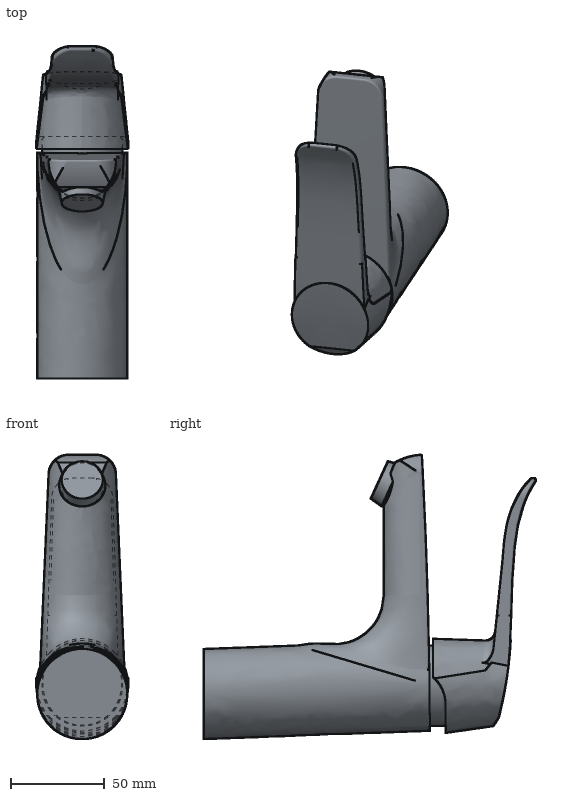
import cadquery as cq
import math


BODY_RADIUS = 24.15
BODY_SLOPE = math.tan(math.radians(2.1))
BODY_ROUGH_LENGTH = 124.0

SPOUT_FRONT_Y = 96.2
SPOUT_REAR_Y = 122.0
SPOUT_STRAIGHT_SHARE = 0.25
RUNOUT_STRAIGHT_SHARE = 0.02
SPOUT_BASE_WIDTH = 46.3
SPOUT_TOP_WIDTH = 35.2
SPOUT_TOP_Z = 127.95
HEAD_CORNER_RADIUS = 11.0
HEAD_CLEARANCE = 0.05

BLEND_RADIUS = 26.0
BLEND_STEPS = 6
BLEND_BACK_Z = 15.0
BLEND_RUNOUT_Y = 50.0
BLEND_RUNOUT_SINK = 0.05

BACK_TOP = (116.7, SPOUT_TOP_Z)
BACK_MIDDLE = (119.6, 60.0)
BACK_BOTTOM = (120.9, -30.0)
HEAD_MIDDLE = (109.6, 126.8)
HEAD_FRONT = (102.4, 123.8)
HEAD_NOSE = (99.3, 116.0)
HEAD_CHIN = (97.4, 105.5)
HEAD_BASE = (95.9, 98.0)
BACK_RIM = 1.0

NOZZLE_FACE_Y = 93.9
NOZZLE_FACE_Z = 114.4
NOZZLE_TILT = math.radians(24.6)
NOZZLE_FACE_RADIUS = 11.0
NOZZLE_BASE_RADIUS = 12.4
NOZZLE_LENGTH = 7.0
NOZZLE_ROOT = 4.0
NOZZLE_ROOT_RADIUS = 8.5

NECK_RADIUS = 21.6
NECK_Z = 4.4
NECK_START_Y = 115.0
NECK_END_Y = 131.0
NECK_ROUND = 3.5

HUB_FRONT_Y = 122.6
HUB_REAR_Y = 168.0
HUB_FRONT_Z = 4.1
HUB_REAR_Z = 6.6
HUB_FRONT_RADII = (24.65, 25.5)
HUB_REAR_RADII = (20.0, 21.5)
SKIRT_STEP = 0.4
SKIRT_FRONT_Z = 8.2
SKIRT_REAR_Y = 150.5
SKIRT_REAR_Z = 12.6

LEVER_TOP_Z = 115.5
LEVER_TIP_WIDTH = 32.0
LEVER_ROOT_WIDTH = 39.0
LEVER_ROOT_Z = 8.0
LEVER_CORNER_RADIUS = 11.0
LEVER_EDGE_ROUND = 1.0
LEVER_JOIN_Z = 42.0
LEVER_HUB_FILLET = 5.0

LEVER_TIP_BACK = (177.67, 114.0)
LEVER_TIP_CROWN = (176.8, 115.4)
LEVER_TIP_FRONT = (175.0, 115.2)
LEVER_FRONT_CURVE = [(167.4, 105.2), (162.2, 91.5), (159.6, 70.8)]
LEVER_FRONT_ROOT = (155.9, 34.7)
LEVER_FRONT_BURIED = (153.2, 2.0)
HUB_NOTCH_TOP = (HUB_FRONT_Y, 9.0)
HUB_NOTCH_MIDDLE = (127.3, 3.0)
HUB_NOTCH_BOTTOM = (129.3, -6.0)
HUB_BOTTOM_FRONT = (HUB_NOTCH_BOTTOM[0], -22.0)
HUB_BOTTOM_REAR = (154.5, -17.6)
HUB_HEEL = (157.8, -12.5)
HANDLE_BACK_CURVE = [(161.6, 5.4), (164.5, 43.3), (166.2, 77.7), (171.3, 101.8)]

TRIM_SPAN = 60.0


def prism_along_x(outline):
    return outline.close().extrude(2 * TRIM_SPAN)


def body_axis_z(y):
    return y * BODY_SLOPE


def body_top_z(y):
    return body_axis_z(y) + BODY_RADIUS


def make_body():
    path = cq.Workplane("YZ").lineTo(BODY_ROUGH_LENGTH, body_axis_z(BODY_ROUGH_LENGTH))
    return cq.Workplane("XZ").circle(BODY_RADIUS).sweep(path)


def spout_half_width(z):
    taper = (SPOUT_BASE_WIDTH - SPOUT_TOP_WIDTH) / SPOUT_TOP_Z
    return (SPOUT_BASE_WIDTH - taper * z) / 2


def spout_section(half_width, rear_z, tip_y, tip_z, straight_share):
    """Section in the plane through the rear edge at rear_z and the given front tip."""
    forward_y = tip_y - SPOUT_REAR_Y
    forward_z = tip_z - rear_z
    depth = math.hypot(forward_y, forward_z)
    straight = depth * straight_share
    plane = cq.Plane(origin=(0, SPOUT_REAR_Y, rear_z), xDir=(1, 0, 0),
                     normal=(0, forward_z, -forward_y))
    return (
        cq.Workplane(plane)
        .moveTo(-half_width, 0)
        .lineTo(-half_width, -straight)
        .ellipseArc(half_width, depth - straight, 180, 360)
        .lineTo(half_width, 0)
        .close()
        .wires().val()
    )


def head_prism():
    """Tapered outline with rounded top corners, extruded along Y."""
    base = spout_half_width(0) + HEAD_CLEARANCE
    top = spout_half_width(SPOUT_TOP_Z) + HEAD_CLEARANCE
    return (
        cq.Workplane("XZ")
        .polyline([(-base, 0), (base, 0), (top, SPOUT_TOP_Z), (-top, SPOUT_TOP_Z)])
        .close()
        .extrude(-BODY_ROUGH_LENGTH)
        .edges("|Y and >Z").fillet(HEAD_CORNER_RADIUS)
    )


def make_spout():
    arc_centre_y = SPOUT_FRONT_Y - BLEND_RADIUS
    arc_centre_z = body_top_z(arc_centre_y) + BLEND_RADIUS

    top = spout_section(spout_half_width(SPOUT_TOP_Z), SPOUT_TOP_Z, SPOUT_FRONT_Y, SPOUT_TOP_Z,
                        SPOUT_STRAIGHT_SHARE)
    blend_sections = []
    for step in range(BLEND_STEPS + 1):
        fraction = step / BLEND_STEPS
        angle = fraction * math.pi / 2
        back_z = arc_centre_z - (arc_centre_z - BLEND_BACK_Z) * fraction
        tip_y = arc_centre_y + BLEND_RADIUS * math.cos(angle)
        tip_z = arc_centre_z - BLEND_RADIUS * math.sin(angle)
        straight_share = SPOUT_STRAIGHT_SHARE * (1 - fraction) + RUNOUT_STRAIGHT_SHARE * fraction
        blend_sections.append(
            spout_section(spout_half_width(back_z), back_z, tip_y, tip_z, straight_share))

    runout = spout_section(BODY_RADIUS - BLEND_RUNOUT_SINK, body_axis_z(SPOUT_REAR_Y),
                           BLEND_RUNOUT_Y, body_top_z(BLEND_RUNOUT_Y) - BLEND_RUNOUT_SINK,
                           RUNOUT_STRAIGHT_SHARE)
    upright = cq.Workplane(cq.Solid.makeLoft([top, blend_sections[0]], True))
    blend = cq.Workplane(cq.Solid.makeLoft(blend_sections + [runout]))

    return upright.intersect(head_prism()).union(blend)


def side_trim():
    """Everything in front of the curved back face and under the sloping head."""
    return prism_along_x(
        cq.Workplane("YZ", origin=(-TRIM_SPAN, 0, 0))
        .moveTo(*BACK_BOTTOM)
        .threePointArc(BACK_MIDDLE, BACK_TOP)
        .threePointArc(HEAD_MIDDLE, HEAD_FRONT)
        .threePointArc(HEAD_NOSE, HEAD_CHIN)
        .lineTo(*HEAD_BASE)
        .lineTo(0, HEAD_BASE[1])
        .lineTo(0, BACK_BOTTOM[1])
    )


def make_nozzle():
    outward = (0, -math.cos(NOZZLE_TILT), math.sin(NOZZLE_TILT))
    face = cq.Plane(origin=(0, NOZZLE_FACE_Y, NOZZLE_FACE_Z), xDir=(1, 0, 0), normal=outward)
    profile = (
        cq.Workplane(cq.Plane(origin=face.origin, xDir=(1, 0, 0), normal=face.yDir))
        .polyline([(0, 0), (NOZZLE_FACE_RADIUS, 0), (NOZZLE_BASE_RADIUS, NOZZLE_LENGTH),
                   (NOZZLE_ROOT_RADIUS, NOZZLE_LENGTH + NOZZLE_ROOT), (0, NOZZLE_LENGTH + NOZZLE_ROOT)])
        .close()
    )
    return profile.revolve(360, (0, 0), (0, 1))


def make_neck():
    return (
        cq.Workplane("XZ", origin=(0, NECK_START_Y, NECK_Z))
        .circle(NECK_RADIUS)
        .extrude(NECK_START_Y - NECK_END_Y)
        .faces(">Y").edges().fillet(NECK_ROUND)
    )


def hub_cone(growth):
    front_x, front_z = HUB_FRONT_RADII
    rear_x, rear_z = HUB_REAR_RADII
    return (
        cq.Workplane("XZ", origin=(0, HUB_FRONT_Y, HUB_FRONT_Z))
        .ellipse(front_x + growth, front_z + growth)
        .workplane(offset=HUB_FRONT_Y - HUB_REAR_Y)
        .center(0, HUB_REAR_Z - HUB_FRONT_Z)
        .ellipse(rear_x + growth, rear_z + growth)
        .loft()
    )


def make_lever():
    root = LEVER_ROOT_WIDTH / 2
    tip = LEVER_TIP_WIDTH / 2
    front_shape = (
        cq.Workplane("XZ")
        .polyline([(-root, LEVER_ROOT_Z), (root, LEVER_ROOT_Z), (tip, LEVER_TOP_Z), (-tip, LEVER_TOP_Z)])
        .close()
        .extrude(-4 * TRIM_SPAN)
        .edges("|Y and >Z").fillet(LEVER_CORNER_RADIUS)
    )
    side_shape = prism_along_x(
        cq.Workplane("YZ", origin=(-TRIM_SPAN, 0, 0))
        .moveTo(*LEVER_TIP_FRONT)
        .spline(LEVER_FRONT_CURVE + [LEVER_FRONT_ROOT, LEVER_FRONT_BURIED], includeCurrent=True)
        .lineTo(*HUB_HEEL)
        .spline(HANDLE_BACK_CURVE + [LEVER_TIP_BACK], includeCurrent=True)
        .threePointArc(LEVER_TIP_CROWN, LEVER_TIP_FRONT)
    )
    return front_shape.intersect(side_shape)


def make_hub():
    skirt_region = prism_along_x(
        cq.Workplane("YZ", origin=(-TRIM_SPAN, 0, 0))
        .moveTo(HUB_FRONT_Y, SKIRT_FRONT_Z)
        .lineTo(SKIRT_REAR_Y, SKIRT_REAR_Z)
        .lineTo(HUB_REAR_Y, LEVER_FRONT_ROOT[1])
        .lineTo(HUB_REAR_Y, -TRIM_SPAN)
        .lineTo(HUB_FRONT_Y, -TRIM_SPAN)
    )
    outline = prism_along_x(
        cq.Workplane("YZ", origin=(-TRIM_SPAN, 0, 0))
        .moveTo(HUB_FRONT_Y, TRIM_SPAN)
        .lineTo(*HUB_NOTCH_TOP)
        .threePointArc(HUB_NOTCH_MIDDLE, HUB_NOTCH_BOTTOM)
        .lineTo(*HUB_BOTTOM_FRONT)
        .lineTo(*HUB_BOTTOM_REAR)
        .lineTo(*HUB_HEEL)
        .spline(HANDLE_BACK_CURVE[:2], includeCurrent=True)
        .lineTo(HANDLE_BACK_CURVE[1][0], TRIM_SPAN)
    )
    cone = hub_cone(0)
    skirt = hub_cone(SKIRT_STEP).intersect(skirt_region)
    return cone.intersect(outline), skirt.intersect(outline)


def make_handle():
    """Hub with a filleted lever root; above the root the lever edges are rounded."""
    hub, skirt = make_hub()
    lever = make_lever()
    root_edges = cq.selectors.BoxSelector(
        (-TRIM_SPAN, LEVER_FRONT_BURIED[0], SKIRT_REAR_Z),
        (TRIM_SPAN, LEVER_FRONT_ROOT[0], LEVER_FRONT_ROOT[1] - LEVER_HUB_FILLET))
    lower = hub.union(lever).edges(root_edges).fillet(LEVER_HUB_FILLET)

    long_edges = cq.selectors.BoxSelector(
        (-TRIM_SPAN, HUB_FRONT_Y, LEVER_FRONT_ROOT[1]),
        (TRIM_SPAN, HUB_FRONT_Y + TRIM_SPAN, LEVER_TOP_Z + LEVER_EDGE_ROUND))
    rounded_lever = lever.edges(long_edges).fillet(LEVER_EDGE_ROUND)

    above_join = (
        cq.Workplane("XY", origin=(0, HUB_FRONT_Y, LEVER_JOIN_Z))
        .rect(2 * TRIM_SPAN, 4 * TRIM_SPAN)
        .extrude(2 * TRIM_SPAN)
    )
    return lower.cut(above_join).union(rounded_lever.intersect(above_join)).union(skirt)


def make_tap_body():
    trimmed = make_body().union(make_spout()).intersect(side_trim())
    rim_edges = cq.selectors.BoxSelector(
        (-TRIM_SPAN, HEAD_FRONT[0], BLEND_BACK_Z),
        (TRIM_SPAN, BACK_BOTTOM[0], SPOUT_TOP_Z + BACK_RIM))
    return trimmed.faces(">Y").edges(rim_edges).fillet(BACK_RIM)


result = make_tap_body().union(make_nozzle()).union(make_neck()).union(make_handle())